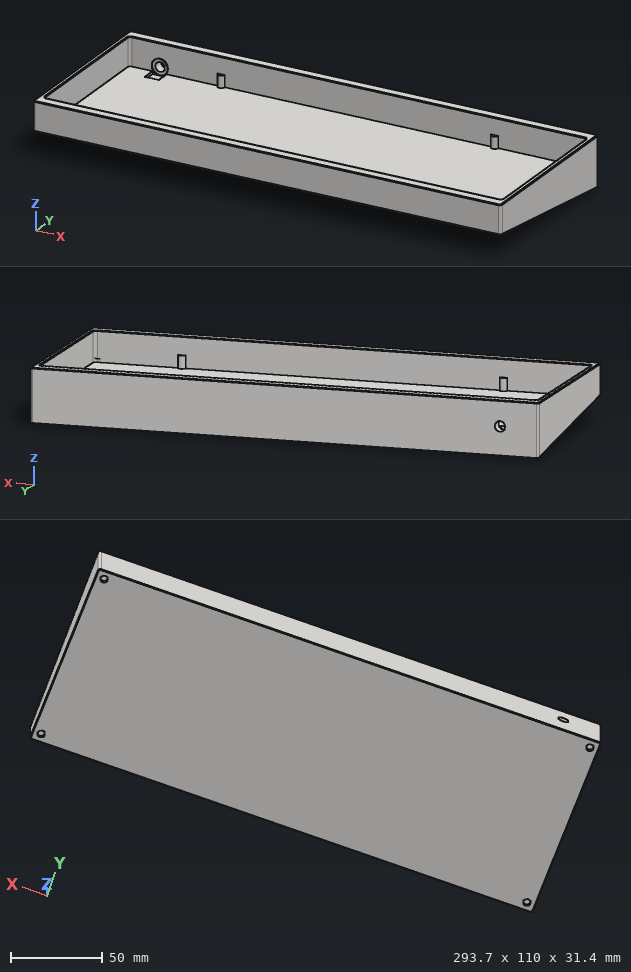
import cadquery as cq

LENGTH = 293.7
WIDTH = 110.0
BACK_HEIGHT = 31.5
FRONT_HEIGHT = 18.2
CORNER_RADIUS = 1.5
EDGE_BEVEL = 0.5

SIDE_WALL = 3.2
LONG_WALL = 7.0
POCKET_DEPTH = 18.0
POCKET_CORNER_RADIUS = 1.8

POST_DIAMETER = 4.5
POST_HEIGHT = 7.3
BACK_POST_SPACING = 171.5
FRONT_POST_SPACING = 185.5

CABLE_X = -124.5
CABLE_HOLE_DIAMETER = 6.0
CABLE_RECESS_DIAMETER = 10.0
CABLE_RECESS_DEPTH = 0.5
CABLE_NOTCH_SIDE = 8.8
CABLE_NOTCH_DEPTH = 1.8

FOOT_DIAMETER = 4.0
FOOT_INSET = 5.0
FOOT_DEPTH = 3.0

POCKET_LENGTH = LENGTH - 2 * SIDE_WALL
POCKET_WIDTH = WIDTH - 2 * LONG_WALL
POCKET_BACK = POCKET_WIDTH / 2
POCKET_FLOOR = BACK_HEIGHT - POCKET_DEPTH
CABLE_AXIS_Z = POCKET_FLOOR - CABLE_NOTCH_DEPTH + CABLE_RECESS_DIAMETER / 2
UNDERSIDE_RISE = BACK_HEIGHT - FRONT_HEIGHT


def wedge_body():
    """Wedge profile run along X, with rounded upright corners."""
    front = -WIDTH / 2
    back = WIDTH / 2
    profile = [(front, UNDERSIDE_RISE), (back, 0), (back, BACK_HEIGHT), (front, BACK_HEIGHT)]
    body = cq.Workplane("YZ").polyline(profile).close().extrude(LENGTH / 2, both=True)
    return body.edges("|Z").fillet(CORNER_RADIUS)


def pocket():
    """Level-floored pocket open at the top."""
    block = cq.Workplane("XY", origin=(0, 0, POCKET_FLOOR)).rect(POCKET_LENGTH, POCKET_WIDTH)
    return block.extrude(POCKET_DEPTH).edges("|Z").fillet(POCKET_CORNER_RADIUS)


def posts():
    """Round posts on the floor, half sunk into the long walls."""
    post_plane = cq.Workplane("XY", origin=(0, 0, POCKET_FLOOR))
    back_row = [(side * BACK_POST_SPACING / 2, POCKET_BACK) for side in (-1, 1)]
    front_row = [(side * FRONT_POST_SPACING / 2, -POCKET_BACK) for side in (-1, 1)]
    outline = post_plane.pushPoints(back_row + front_row).circle(POST_DIAMETER / 2)
    return outline.extrude(POST_HEIGHT)


def cable_passage():
    """Stepped round hole through the back wall, with a square notch in the floor before it."""
    notch = cq.Workplane("XY").box(
        CABLE_NOTCH_SIDE, CABLE_NOTCH_SIDE, CABLE_NOTCH_DEPTH, centered=(True, False, False)
    )
    notch = notch.translate((CABLE_X, POCKET_BACK - CABLE_NOTCH_SIDE, POCKET_FLOOR - CABLE_NOTCH_DEPTH))
    wall_plane = cq.Workplane("XZ", origin=(CABLE_X, POCKET_BACK, CABLE_AXIS_Z))
    hole = wall_plane.circle(CABLE_HOLE_DIAMETER / 2).extrude(-LONG_WALL)
    recess = wall_plane.circle(CABLE_RECESS_DIAMETER / 2).extrude(-CABLE_RECESS_DEPTH)
    return notch.union(hole).union(recess)


def foot_holes():
    """Upright blind holes near the four corners of the sloping underside."""
    holes = cq.Workplane("XY")
    for y in (-WIDTH / 2 + FOOT_INSET, WIDTH / 2 - FOOT_INSET):
        underside = UNDERSIDE_RISE * (0.5 - y / WIDTH)
        centres = [(side * (LENGTH / 2 - FOOT_INSET), y) for side in (-1, 1)]
        row = cq.Workplane("XY").pushPoints(centres).circle(FOOT_DIAMETER / 2)
        holes = holes.union(row.extrude(underside + FOOT_DEPTH))
    return holes


tray = wedge_body().cut(pocket())
tray = tray.faces(">Z or <Z").edges().chamfer(EDGE_BEVEL)
result = tray.union(posts()).cut(cable_passage()).cut(foot_holes())